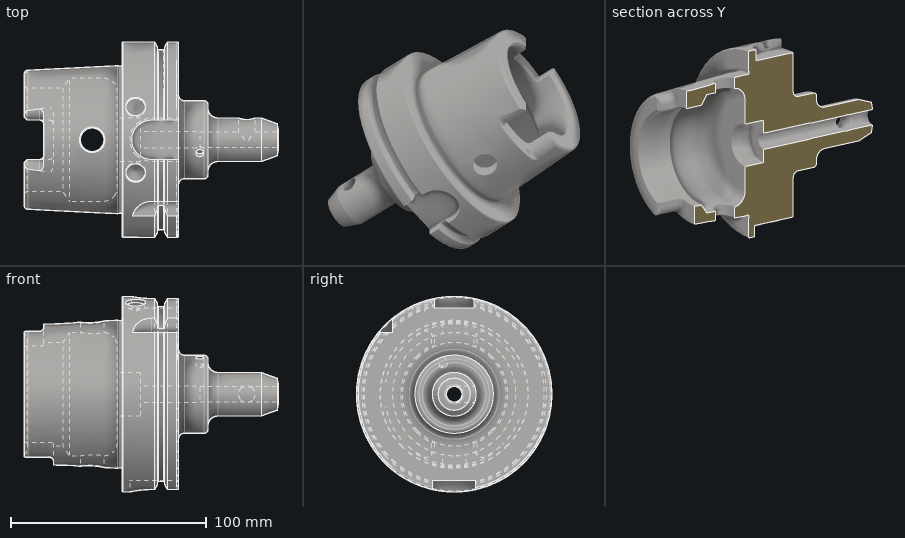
import cadquery as cq
import math


SHANK_LENGTH = 50.0
TAPER = 1 / 10
GAUGE_DIAMETER = 75.0
GAUGE_X = -10.0
SHANK_END_ROUND = 2.0
TAPER_END_X = -2.15
NECK_DIAMETER = 75.42
NECK_START_X = -1.2
RECESS_DEPTH = 0.2
RECESS_ROUND = 0.8
RECESS_RADIUS = 39.4

MOUTH_DIAMETER = 53.0
MOUTH_CHAMFER = 0.85
MOUTH_CHAMFER_LENGTH = 1.5
MOUTH_LENGTH = 19.8
CHAMBER_DIAMETER = 63.0
CHAMBER_ANGLE = 55.0
BORE_FLOOR_X = -2.4
BORE_FLOOR_ROUND = 7.0
COOLANT_BORE_DIAMETER = 22.38
COOLANT_BORE_DEPTH = 12.0
CHANNEL_DIAMETER = 8.4
TOOL_BORE_DIAMETER = 7.94
TOOL_BORE_LENGTH = 40.0

SHANK_SLOT_WIDTH = 20.0
SHANK_SLOT_DEPTH_TOP = 10.0
SHANK_SLOT_DEPTH_BOTTOM = 15.0
SHANK_SLOT_LIP_HEIGHT = 32.3
SHANK_SLOT_LIP_ROUND = 5.0
SHANK_SLOT_LIP_FALL = 20.0
SHANK_SLOT_FLOOR_ROUND = 2.0
SHANK_SLOT_MOUTH_CHAMFER = 1.65

CROSS_HOLE_DIAMETER = 12.0
CROSS_HOLE_X = -15.2
CROSS_HOLE_CHAMFER = 0.5

FLANGE_DIAMETER = 100.0
FLANGE_WIDTH = 29.0
FLANGE_CHAMFER = 0.5
FLANGE_ROUND = 1.0
GROOVE_X = 20.0
GROOVE_DIAMETER = 92.0
GROOVE_MOUTH_WIDTH = 6.6
GROOVE_FLOOR_WIDTH = 3.4
GROOVE_FLANK_ANGLE = 30.0
GROOVE_FLOOR_ROUND = 0.4

POCKET_ARC_X = 15.0
TOP_POCKET_WIDTH = 20.0
TOP_POCKET_FLOOR = 44.0
BOTTOM_POCKET_WIDTH = 22.0
BOTTOM_POCKET_FLOOR = 44.0
CORNER_POCKET_WIDTH = 20.0
CORNER_POCKET_WALL_Y = -31.5
CORNER_POCKET_FLOOR = 31.5

DIMPLE_DIAMETER = 10.0
DIMPLE_X = 7.0
DIMPLE_ANGLES = (-20.0, 20.0)
DIMPLE_CYLINDER_DEPTH = 2.0
DRILL_POINT_ANGLE = 120.0

HUB_DIAMETER = 40.0
HUB_END_X = 44.0
HUB_ROOT_ROUND = 3.0
HUB_END_ROUND = 2.0
NOSE_DIAMETER = 22.38
NOSE_ROOT_ROUND = 5.0
NOSE_CONE_X = 71.2
NOSE_CONE_END_X = 79.4
NOSE_CONE_END_RADIUS = 8.2
NOSE_END_X = 79.97
NOSE_END_DIAMETER = 10.0

HUB_HOLE_DIAMETER = 4.0
HUB_HOLE_X = 39.8
HUB_HOLE_ANGLE = -20.0
HUB_HOLE_DEPTH = 4.5
SCREW_HOLE_DIAMETER = 8.4
SCREW_HOLE_X = 63.8

SHANK_END_X = -SHANK_LENGTH
FLANGE_RADIUS = FLANGE_DIAMETER / 2
REACH = FLANGE_DIAMETER


def taper_radius(x):
    """Shank radius on the taper at position x."""
    return (GAUGE_DIAMETER + (x - GAUGE_X) * TAPER) / 2


def revolved(profile):
    """Turn a closed (x, radius) profile about the X axis."""
    return profile.close().revolve(360, (0, 0, 0), (1, 0, 0))


def at_angle(body, angle):
    """Turn a body standing along +Z about X; positive angles lean toward +Y."""
    return body.rotate((0, 0, 0), (1, 0, 0), -angle)


def point_length(diameter):
    """Length of the drill point that ends a hole of this diameter."""
    return diameter / 2 / math.tan(math.radians(DRILL_POINT_ANGLE / 2))


def drilled_hole(diameter, x, surface_radius, depth, angle):
    """Radial hole with a drill point; depth is the length of the round wall."""
    radius = diameter / 2
    shoulder = surface_radius - depth
    return at_angle(
        cq.Workplane("XZ")
        .moveTo(0, shoulder - point_length(diameter))
        .lineTo(radius, shoulder)
        .lineTo(radius, surface_radius + depth)
        .lineTo(0, surface_radius + depth)
        .close()
        .revolve(360, (0, 0, 0), (0, 1, 0))
        .translate((x, 0, 0)),
        angle,
    )


def turned_body():
    """Solid outer shape: taper shank, neck, flange, hub and nose."""
    neck_radius = NECK_DIAMETER / 2
    hub_radius = HUB_DIAMETER / 2
    nose_radius = NOSE_DIAMETER / 2
    profile = (
        cq.Workplane("XY")
        .moveTo(SHANK_END_X, 0)
        .lineTo(SHANK_END_X, taper_radius(SHANK_END_X))
        .lineTo(TAPER_END_X, taper_radius(TAPER_END_X))
        .lineTo(NECK_START_X, neck_radius)
        .lineTo(RECESS_DEPTH - RECESS_ROUND, neck_radius)
        .radiusArc((RECESS_DEPTH, neck_radius + RECESS_ROUND), -RECESS_ROUND)
        .lineTo(0, RECESS_RADIUS)
        .lineTo(0, FLANGE_RADIUS - FLANGE_CHAMFER)
        .lineTo(FLANGE_CHAMFER, FLANGE_RADIUS)
        .lineTo(FLANGE_WIDTH - FLANGE_ROUND, FLANGE_RADIUS)
        .radiusArc((FLANGE_WIDTH, FLANGE_RADIUS - FLANGE_ROUND), FLANGE_ROUND)
        .lineTo(FLANGE_WIDTH, hub_radius + HUB_ROOT_ROUND)
        .radiusArc((FLANGE_WIDTH + HUB_ROOT_ROUND, hub_radius), -HUB_ROOT_ROUND)
        .lineTo(HUB_END_X - HUB_END_ROUND, hub_radius)
        .radiusArc((HUB_END_X, hub_radius - HUB_END_ROUND), HUB_END_ROUND)
        .lineTo(HUB_END_X, nose_radius + NOSE_ROOT_ROUND)
        .radiusArc((HUB_END_X + NOSE_ROOT_ROUND, nose_radius), -NOSE_ROOT_ROUND)
        .lineTo(NOSE_CONE_X, nose_radius)
        .lineTo(NOSE_CONE_END_X, NOSE_CONE_END_RADIUS)
        .lineTo(NOSE_END_X, NOSE_END_DIAMETER / 2)
        .lineTo(NOSE_END_X, 0)
    )
    return revolved(profile).faces("<X").edges().fillet(SHANK_END_ROUND)


def shank_bore():
    """Chamfered mouth opening through a cone into a wider chamber with a rounded floor."""
    mouth_radius = MOUTH_DIAMETER / 2
    chamber_radius = CHAMBER_DIAMETER / 2
    cone_start_x = SHANK_END_X + MOUTH_LENGTH
    cone_length = (chamber_radius - mouth_radius) / math.tan(math.radians(CHAMBER_ANGLE))
    chamber = revolved(
        cq.Workplane("XY")
        .moveTo(SHANK_END_X, 0)
        .lineTo(SHANK_END_X, mouth_radius + MOUTH_CHAMFER)
        .lineTo(SHANK_END_X + MOUTH_CHAMFER_LENGTH, mouth_radius)
        .lineTo(cone_start_x, mouth_radius)
        .lineTo(cone_start_x + cone_length, chamber_radius)
        .lineTo(BORE_FLOOR_X, chamber_radius)
        .lineTo(BORE_FLOOR_X, 0)
    )
    return chamber.faces(">X").edges().fillet(BORE_FLOOR_ROUND)


def axial_hole(diameter, start_x, end_x):
    """Round hole along the X axis."""
    return cq.Workplane("YZ", origin=(start_x, 0, 0)).circle(diameter / 2).extrude(end_x - start_x)


def groove():
    """Gripper groove: sloping flanks above straight walls and a rounded-corner floor."""
    flank_run = (GROOVE_MOUTH_WIDTH - GROOVE_FLOOR_WIDTH) / 2
    flank_radius = FLANGE_RADIUS - flank_run / math.tan(math.radians(GROOVE_FLANK_ANGLE))
    half_mouth = GROOVE_MOUTH_WIDTH / 2
    half_floor = GROOVE_FLOOR_WIDTH / 2
    floor_radius = GROOVE_DIAMETER / 2
    ring = revolved(
        cq.Workplane("XY")
        .moveTo(GROOVE_X - half_floor, floor_radius)
        .lineTo(GROOVE_X - half_floor, flank_radius)
        .lineTo(GROOVE_X - half_mouth, FLANGE_RADIUS)
        .lineTo(GROOVE_X + half_mouth, FLANGE_RADIUS)
        .lineTo(GROOVE_X + half_floor, flank_radius)
        .lineTo(GROOVE_X + half_floor, floor_radius)
    )
    floor_edges = cq.selectors.RadiusNthSelector(0)
    return ring.edges("%CIRCLE").edges(floor_edges).fillet(GROOVE_FLOOR_ROUND)


def shank_slot(depth):
    """Slot through the +Z wall, flaring over rounded lips, with a rounded floor edge."""
    half_width = SHANK_SLOT_WIDTH / 2
    fall = math.radians(SHANK_SLOT_LIP_FALL)
    crest_y = half_width + SHANK_SLOT_LIP_ROUND
    lip_start_z = SHANK_SLOT_LIP_HEIGHT - SHANK_SLOT_LIP_ROUND
    lip_end_y = crest_y + SHANK_SLOT_LIP_ROUND * math.sin(fall)
    lip_end_z = lip_start_z + SHANK_SLOT_LIP_ROUND * math.cos(fall)
    outer_z = lip_end_z - (FLANGE_RADIUS - lip_end_y) * math.tan(fall)
    slot = (
        cq.Workplane("YZ", origin=(SHANK_END_X, 0, 0))
        .moveTo(-half_width, 0)
        .lineTo(half_width, 0)
        .lineTo(half_width, lip_start_z)
        .radiusArc((lip_end_y, lip_end_z), SHANK_SLOT_LIP_ROUND)
        .lineTo(FLANGE_RADIUS, outer_z)
        .lineTo(FLANGE_RADIUS, FLANGE_RADIUS)
        .lineTo(-FLANGE_RADIUS, FLANGE_RADIUS)
        .lineTo(-FLANGE_RADIUS, outer_z)
        .lineTo(-lip_end_y, lip_end_z)
        .radiusArc((-half_width, lip_start_z), SHANK_SLOT_LIP_ROUND)
        .close()
        .extrude(depth)
        .faces(">X")
        .edges()
        .fillet(SHANK_SLOT_FLOOR_ROUND)
    )
    mouth_half_width = half_width + SHANK_SLOT_MOUTH_CHAMFER
    mouth = (
        cq.Workplane("XY")
        .moveTo(SHANK_END_X, -mouth_half_width)
        .lineTo(SHANK_END_X, mouth_half_width)
        .lineTo(SHANK_END_X + SHANK_SLOT_MOUTH_CHAMFER, half_width)
        .lineTo(SHANK_END_X + SHANK_SLOT_MOUTH_CHAMFER, -half_width)
        .close()
        .extrude(FLANGE_RADIUS)
    )
    return slot.union(mouth)


def with_cross_hole(body):
    """Drill the body through along Z and chamfer both hole rims."""
    drill = (
        cq.Workplane("XY", origin=(CROSS_HOLE_X, 0, -REACH / 2))
        .circle(CROSS_HOLE_DIAMETER / 2)
        .extrude(REACH)
    )
    half_box = CROSS_HOLE_DIAMETER
    rims = cq.selectors.BoxSelector(
        (CROSS_HOLE_X - half_box, -half_box, -FLANGE_RADIUS),
        (CROSS_HOLE_X + half_box, half_box, FLANGE_RADIUS),
        boundingbox=True,
    )
    return body.cut(drill).edges(rims).edges("not |Z").chamfer(CROSS_HOLE_CHAMFER)


def rim_pocket(width, floor, center_y=0.0):
    """Round-ended pocket open toward +X and +Z, with a flat floor at height `floor`."""
    radius = width / 2
    end_x = FLANGE_WIDTH
    return (
        cq.Workplane("XY", origin=(0, center_y, floor))
        .moveTo(end_x, -radius)
        .lineTo(POCKET_ARC_X, -radius)
        .threePointArc((POCKET_ARC_X - radius, 0), (POCKET_ARC_X, radius))
        .lineTo(end_x, radius)
        .close()
        .extrude(FLANGE_RADIUS)
    )


def screw_hole():
    """Radial hole from the +Y side of the nose down to its axis."""
    return (
        cq.Workplane("XZ", origin=(SCREW_HOLE_X, 0, 0))
        .circle(SCREW_HOLE_DIAMETER / 2)
        .extrude(-NOSE_DIAMETER)
    )


result = with_cross_hole(turned_body())
result = result.cut(shank_bore())
result = result.cut(axial_hole(COOLANT_BORE_DIAMETER, BORE_FLOOR_X, BORE_FLOOR_X + COOLANT_BORE_DEPTH))
result = result.cut(axial_hole(CHANNEL_DIAMETER, BORE_FLOOR_X, NOSE_END_X - TOOL_BORE_LENGTH))
result = result.cut(axial_hole(TOOL_BORE_DIAMETER, BORE_FLOOR_X, NOSE_END_X))
result = result.cut(groove())
result = result.cut(shank_slot(SHANK_SLOT_DEPTH_TOP))
result = result.cut(at_angle(shank_slot(SHANK_SLOT_DEPTH_BOTTOM), 180))
result = result.cut(rim_pocket(TOP_POCKET_WIDTH, TOP_POCKET_FLOOR))
result = result.cut(at_angle(rim_pocket(BOTTOM_POCKET_WIDTH, BOTTOM_POCKET_FLOOR), 180))
result = result.cut(
    rim_pocket(CORNER_POCKET_WIDTH, CORNER_POCKET_FLOOR, CORNER_POCKET_WALL_Y - CORNER_POCKET_WIDTH / 2)
)
for dimple_angle in DIMPLE_ANGLES:
    result = result.cut(
        drilled_hole(DIMPLE_DIAMETER, DIMPLE_X, FLANGE_RADIUS, DIMPLE_CYLINDER_DEPTH, dimple_angle)
    )
result = result.cut(
    drilled_hole(HUB_HOLE_DIAMETER, HUB_HOLE_X, HUB_DIAMETER / 2, HUB_HOLE_DEPTH, HUB_HOLE_ANGLE)
)
result = result.cut(screw_hole())